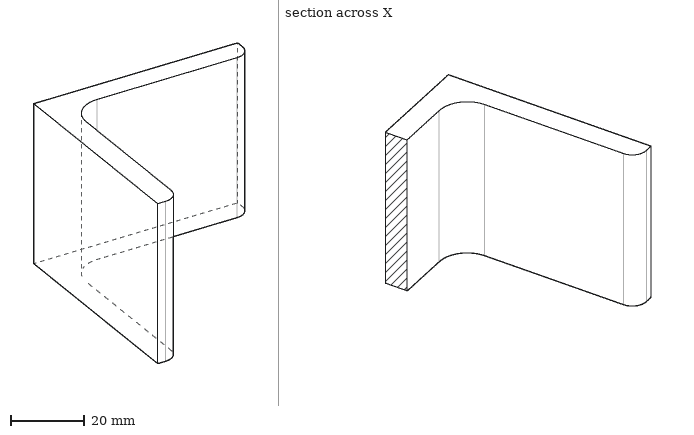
import cadquery as cq

leg_length = 65.0
leg_thickness = 7.0
root_radius = 9.0
toe_radius = root_radius / 2
bar_length = 50.0


def angle_blank():
    """Sharp-cornered L section with its heel on the Z axis."""
    outline = [
        (0, 0),
        (leg_length, 0),
        (leg_length, leg_thickness),
        (leg_thickness, leg_thickness),
        (leg_thickness, leg_length),
        (0, leg_length),
    ]
    return cq.Workplane("XY").polyline(outline).close().extrude(bar_length)


def vertical_edge_at(x, y):
    """Selector for the upright edge whose midpoint lies at (x, y)."""
    return cq.selectors.NearestToPointSelector((x, y, bar_length / 2))


def round_edge(body, x, y, radius):
    return body.edges("|Z").edges(vertical_edge_at(x, y)).fillet(radius)


angle = angle_blank()

angle = round_edge(angle, leg_thickness, leg_thickness, root_radius)

angle = round_edge(angle, leg_length, leg_thickness, toe_radius)
angle = round_edge(angle, leg_thickness, leg_length, toe_radius)

result = angle